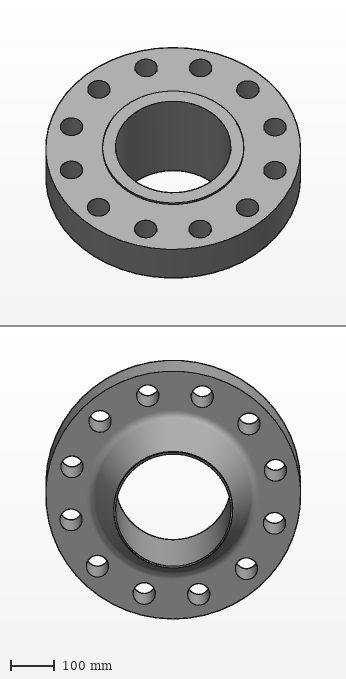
import cadquery as cq

flange_diameter = 584.0
flange_thickness = 107.5
face_diameter = 323.5
face_height = 6.0

total_height = 260.5
hub_diameter = 368.0
neck_diameter = 273.0
neck_height = 9.0
hub_fillet = 20.0
bore_diameter = 264.0

bolt_count = 12
bolt_circle_diameter = 482.5
bolt_hole_diameter = 51.0

flange_top = total_height - face_height
flange_bottom = flange_top - flange_thickness


def flange_body():
    """Revolve the solid half-profile about Z."""
    profile = (
        cq.Workplane("XZ")
        .polyline([
            (0, 0),
            (neck_diameter / 2, 0),
            (neck_diameter / 2, neck_height),
            (hub_diameter / 2, flange_bottom),
            (flange_diameter / 2, flange_bottom),
            (flange_diameter / 2, flange_top),
            (face_diameter / 2, flange_top),
            (face_diameter / 2, total_height),
            (0, total_height),
        ])
        .close()
    )
    return profile.revolve(360, (0, 0, 0), (0, 1, 0))


def round_hub_root(body):
    """Fillet the inside corner where the hub meets the disc."""
    root_reach = hub_diameter / 2 + hub_fillet
    root_zone = cq.selectors.BoxSelector(
        (-root_reach, -root_reach, flange_bottom - hub_fillet),
        (root_reach, root_reach, flange_bottom + hub_fillet),
        boundingbox=True,
    )
    return body.edges("%CIRCLE").edges(root_zone).fillet(hub_fillet)


def bore():
    return cq.Workplane("XY").circle(bore_diameter / 2).extrude(total_height)


def bolt_holes():
    return (
        cq.Workplane("XY")
        .workplane(offset=flange_bottom)
        .polarArray(bolt_circle_diameter / 2, 0, 360, bolt_count)
        .circle(bolt_hole_diameter / 2)
        .extrude(flange_thickness)
    )


result = round_hub_root(flange_body()).cut(bore()).cut(bolt_holes())